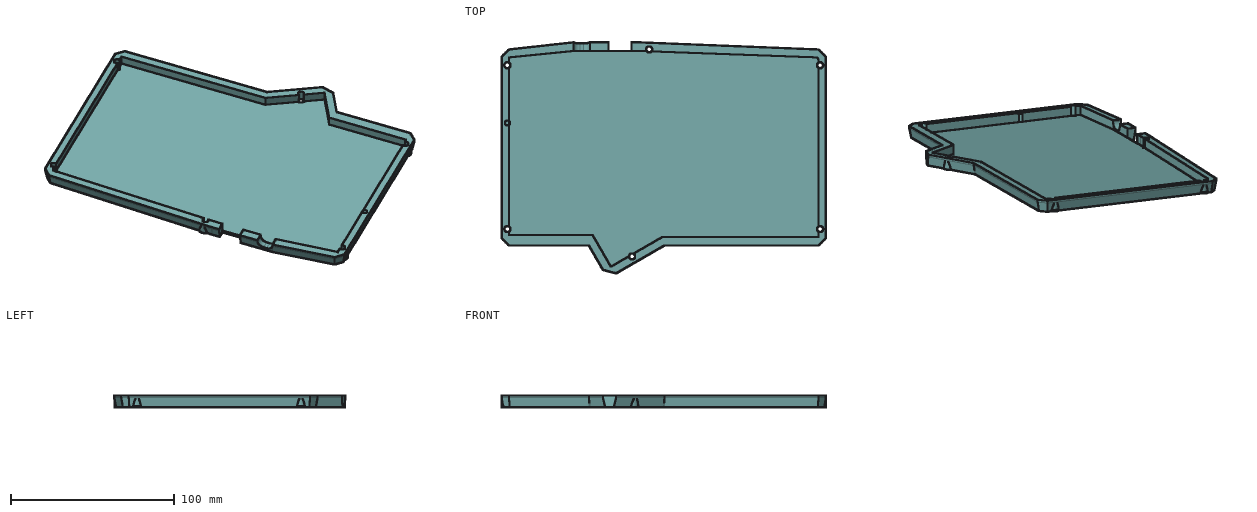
import cadquery as cq
import math

LENGTH = 199.0
TOTAL_WIDTH = 141.9
HEIGHT = 7.4
FLOOR_THICKNESS = 1.5

CORNER_CHAMFER = 4.5
SPOUT_DEPTH = 17.1
BACK_Y = TOTAL_WIDTH - SPOUT_DEPTH
BACK_CORNER_Y = 120.4
BACK_LEFT_X = 44.2
BACK_RIGHT_X = 84.5
SPOUT_LEFT_X = 53.5
SPOUT_RIGHT_X = 99.9

RIM_HEIGHT = 1.4
DRAFT_ANGLE = 10.0

SIDE_WALL = 4.5
BACK_WALL = 5.4
FRONT_LEFT_WALL = 6.5
FRONT_RIGHT_WALL = 5.4
POCKET_BACK_CORNER_Y = 115.5
POCKET_APEX_X = 67.0
POCKET_APEX_Y = -13.0
POCKET_BACK_FILLET = 1.8

HOLE_DIAMETER = 3.5
COUNTERBORE_DIAMETER = 6.0
COUNTERBORE_DEPTH = 0.8
CORNER_HOLE_INSET = 3.5
CORNER_HOLE_FRONT_Y = 10.1
CORNER_HOLE_BACK_Y = 110.6
EDGE_HOLE_INSET = 4.2
BACK_HOLE_X = 90.5
SPOUT_HOLE_ALONG = 20.5

PIN_HOLE_DIAMETER = 3.0
PIN_HOLE_DEPTH = 6.8
PIN_HOLE_X = 3.5
PIN_HOLE_Y = 75.2

GAP_LEFT_X = 65.7
GAP_RIGHT_X = 79.6
GROOVE_LEFT_X = 44.2
GROOVE_RIGHT_X = 54.1
GROOVE_BOTTOM_Z = 2.4
GROOVE_RADIUS = 4.0

STEEP = math.radians(60)
SHALLOW = math.radians(30)


def spout_apex():
    """The sharp corner where the spout's two edges, square to each other, would meet."""
    depth = (SPOUT_RIGHT_X - SPOUT_LEFT_X) * math.sin(STEEP) * math.sin(SHALLOW)
    return SPOUT_LEFT_X + depth / math.tan(STEEP), -depth


def outer_outline():
    return [
        (0, CORNER_CHAMFER),
        (CORNER_CHAMFER, 0),
        (SPOUT_LEFT_X, 0),
        spout_apex(),
        (SPOUT_RIGHT_X, 0),
        (LENGTH - CORNER_CHAMFER, 0),
        (LENGTH, CORNER_CHAMFER),
        (LENGTH, BACK_CORNER_Y - CORNER_CHAMFER),
        (LENGTH - CORNER_CHAMFER, BACK_CORNER_Y),
        (BACK_RIGHT_X, BACK_Y),
        (BACK_LEFT_X, BACK_Y),
        (CORNER_CHAMFER, BACK_CORNER_Y),
        (0, BACK_CORNER_Y - CORNER_CHAMFER),
    ]


def pocket_outline():
    left_run = (FRONT_LEFT_WALL - POCKET_APEX_Y) / math.tan(STEEP)
    right_run = (FRONT_RIGHT_WALL - POCKET_APEX_Y) / math.tan(SHALLOW)
    right_x = LENGTH - SIDE_WALL
    return [
        (SIDE_WALL, FRONT_LEFT_WALL),
        (POCKET_APEX_X - left_run, FRONT_LEFT_WALL),
        (POCKET_APEX_X, POCKET_APEX_Y),
        (POCKET_APEX_X + right_run, FRONT_RIGHT_WALL),
        (right_x, FRONT_RIGHT_WALL),
        (right_x, POCKET_BACK_CORNER_Y),
        (BACK_RIGHT_X, BACK_Y - BACK_WALL),
        (BACK_LEFT_X, BACK_Y - BACK_WALL),
        (SIDE_WALL, POCKET_BACK_CORNER_Y),
    ]


def body():
    rim_z = HEIGHT - RIM_HEIGHT
    plane = cq.Workplane("XY", origin=(0, 0, rim_z))
    rim = plane.polyline(outer_outline()).close().extrude(RIM_HEIGHT)
    leaning_wall = plane.polyline(outer_outline()).close().extrude(-rim_z, taper=DRAFT_ANGLE)
    return rim.union(leaning_wall)


def spout_tip():
    """The upright prism beyond the flat that blunts the spout equally on both edges."""
    apex_x, apex_y = spout_apex()
    cut_back = (-SPOUT_DEPTH - apex_y) / math.sin(SHALLOW)
    flat_left = (apex_x - cut_back * math.cos(STEEP), apex_y + cut_back * math.sin(STEEP))
    flat_right = (apex_x + cut_back * math.cos(SHALLOW), -SPOUT_DEPTH)
    return cq.Workplane("XY").polyline([flat_left, (apex_x, apex_y), flat_right]).close().extrude(HEIGHT)


def pocket():
    block = (
        cq.Workplane("XY", origin=(0, 0, FLOOR_THICKNESS))
        .polyline(pocket_outline())
        .close()
        .extrude(HEIGHT)
    )
    back_right = (LENGTH - SIDE_WALL, POCKET_BACK_CORNER_Y, FLOOR_THICKNESS + HEIGHT / 2)
    return block.edges(cq.NearestToPointSelector(back_right)).fillet(POCKET_BACK_FILLET)


def pin_hole():
    place = cq.Workplane("XY").center(PIN_HOLE_X, PIN_HOLE_Y)
    return place.circle(PIN_HOLE_DIAMETER / 2).extrude(PIN_HOLE_DEPTH)


def boss(center, radius):
    return cq.Workplane("XY").center(*center).circle(radius).extrude(HEIGHT - RIM_HEIGHT)


def screw_places():
    """Hole centers, each with the distance to the outer edge next to it."""
    places = [
        ((x, y), CORNER_HOLE_INSET)
        for x in (CORNER_HOLE_INSET, LENGTH - CORNER_HOLE_INSET)
        for y in (CORNER_HOLE_FRONT_Y, CORNER_HOLE_BACK_Y)
    ]
    slope = math.atan2(BACK_Y - BACK_CORNER_Y, LENGTH - CORNER_CHAMFER - BACK_RIGHT_X)
    back_edge_y = BACK_Y - (BACK_HOLE_X - BACK_RIGHT_X) * math.tan(slope)
    places.append(((BACK_HOLE_X, back_edge_y - EDGE_HOLE_INSET / math.cos(slope)), EDGE_HOLE_INSET))
    spout_x = SPOUT_RIGHT_X - SPOUT_HOLE_ALONG * math.cos(SHALLOW) - EDGE_HOLE_INSET * math.sin(SHALLOW)
    spout_y = -SPOUT_HOLE_ALONG * math.sin(SHALLOW) + EDGE_HOLE_INSET * math.cos(SHALLOW)
    places.append(((spout_x, spout_y), EDGE_HOLE_INSET))
    return places


def screw_hole(center):
    """A through hole with room for the screw head cut into the underside."""
    place = cq.Workplane("XY").center(*center)
    shank = place.circle(HOLE_DIAMETER / 2).extrude(HEIGHT)
    head = place.circle(COUNTERBORE_DIAMETER / 2).extrude(COUNTERBORE_DEPTH)
    return shank.union(head)


def back_wall_block(left_x, right_x, bottom_z):
    """A block reaching through the back wall from the pocket, open at the top."""
    corner = (left_x, BACK_Y - BACK_WALL, bottom_z)
    size = (right_x - left_x, 2 * BACK_WALL, HEIGHT)
    return cq.Workplane("XY", origin=corner).box(*size, centered=False)


def back_gap():
    return back_wall_block(GAP_LEFT_X, GAP_RIGHT_X, 0)


def cable_groove():
    groove = back_wall_block(GROOVE_LEFT_X, GROOVE_RIGHT_X, GROOVE_BOTTOM_Z)
    return groove.edges("|Y and <Z").fillet(GROOVE_RADIUS)


tray = body().cut(spout_tip())
for center, inset in screw_places():
    tray = tray.union(boss(center, inset))
tray = tray.cut(pocket())
for center, _ in screw_places():
    tray = tray.cut(screw_hole(center))
result = tray.cut(pin_hole()).cut(back_gap()).cut(cable_groove())